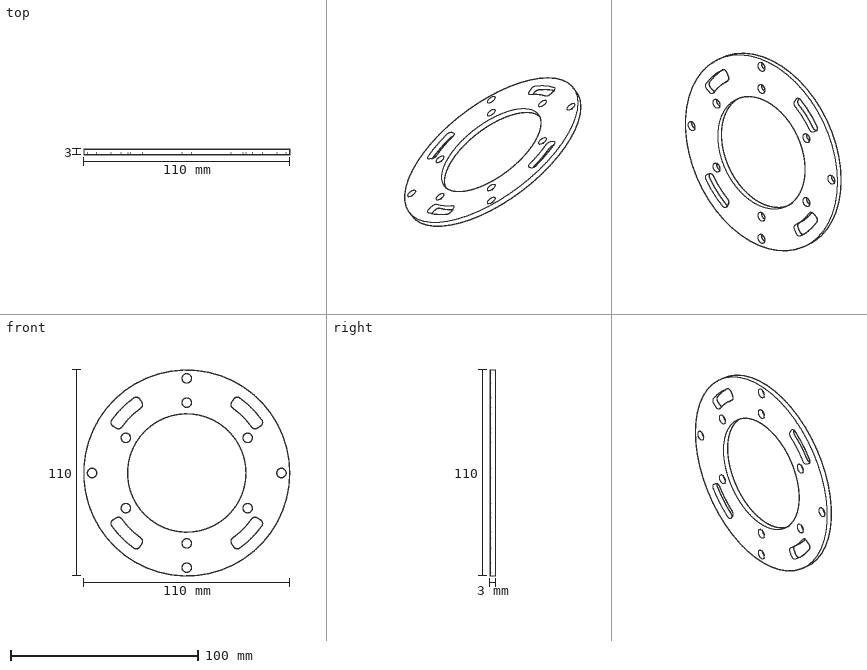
import cadquery as cq
import math

outer_diameter = 110.0
bore_diameter = 63.0
thickness = 3.0

hole_diameter = 5.0
outer_hole_circle_radius = 50.5
outer_hole_count = 4
inner_hole_circle_radius = 37.5
inner_hole_count = 6
first_hole_angle = 90

slot_inner_radius = 42.5
slot_outer_radius = 49.0
slot_half_angle = 12.5
slot_corner_radius = 2.2
slot_count = 4
first_slot_angle = 45


def face_plane():
    """XZ workplane centred in the thickness of the ring."""
    return cq.Workplane("XZ")


def polar_point(radius, angle):
    angle_radians = math.radians(angle)
    return (radius * math.cos(angle_radians), radius * math.sin(angle_radians))


def hole_circle(radius, count):
    """Evenly spaced round cutters on a circle."""
    return (
        face_plane()
        .polarArray(radius, first_hole_angle, 360, count)
        .circle(hole_diameter / 2)
        .extrude(thickness, both=True)
    )


def curved_slot(middle_angle):
    """Ring-sector cutter with radial ends and rounded corners."""
    start = middle_angle - slot_half_angle
    end = middle_angle + slot_half_angle
    return (
        face_plane()
        .moveTo(*polar_point(slot_inner_radius, start))
        .lineTo(*polar_point(slot_outer_radius, start))
        .threePointArc(polar_point(slot_outer_radius, middle_angle), polar_point(slot_outer_radius, end))
        .lineTo(*polar_point(slot_inner_radius, end))
        .threePointArc(polar_point(slot_inner_radius, middle_angle), polar_point(slot_inner_radius, start))
        .close()
        .extrude(thickness, both=True)
        .edges("|Y")
        .fillet(slot_corner_radius)
    )


result = (
    face_plane()
    .circle(outer_diameter / 2)
    .circle(bore_diameter / 2)
    .extrude(thickness / 2, both=True)
)
result = result.cut(hole_circle(outer_hole_circle_radius, outer_hole_count))
result = result.cut(hole_circle(inner_hole_circle_radius, inner_hole_count))
for slot_index in range(slot_count):
    result = result.cut(curved_slot(first_slot_angle + slot_index * 360 / slot_count))